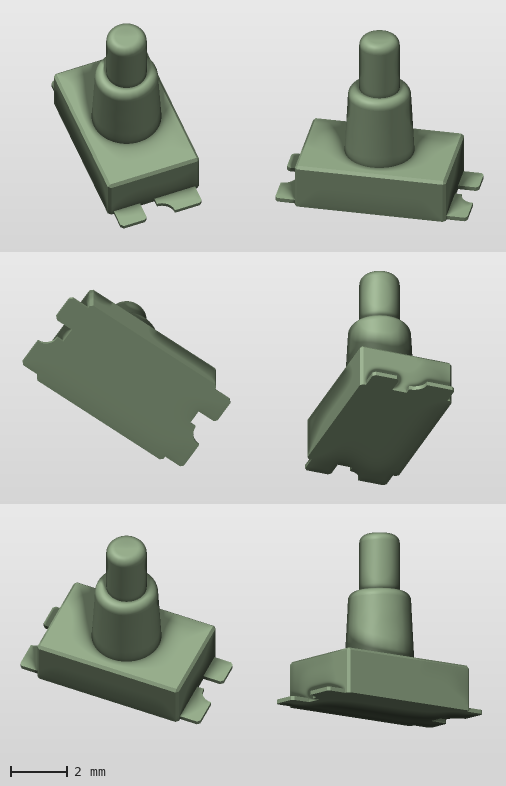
import cadquery as cq
import math

overall_length = 7.0
housing_length = 5.5
housing_width = 3.5
housing_height = 1.65
housing_chamfer = 0.1

collar_base_diameter = 2.5
collar_top_z = 4.25
collar_draft_degrees = 3.0
plunger_diameter = 1.45
plunger_top_z = 6.35
rim_radius = 0.3

lead_thickness = 0.15
lead_outer_y = 1.555
lead_inner_y = 0.55
lead_chamfer = 0.1
notch_radius = 0.5


def make_housing():
    block = cq.Workplane("XY").box(
        housing_length, housing_width, housing_height, centered=(True, True, False)
    )
    return block.edges("|Z or >Z").chamfer(housing_chamfer)


def make_collar():
    collar_height = collar_top_z - housing_height
    return (
        cq.Workplane("XY")
        .workplane(offset=housing_height)
        .circle(collar_base_diameter / 2)
        .extrude(collar_height, taper=collar_draft_degrees)
        .faces(">Z")
        .edges()
        .fillet(rim_radius)
    )


def make_plunger():
    return (
        cq.Workplane("XY")
        .workplane(offset=housing_height)
        .circle(plunger_diameter / 2)
        .extrude(plunger_top_z - housing_height)
        .faces(">Z")
        .edges()
        .fillet(rim_radius)
    )


def make_left_leads():
    tip_x = -overall_length / 2
    root_x = -housing_length / 2 + housing_chamfer
    arc_offset = notch_radius * math.sqrt(0.5)
    notched_lead = (
        cq.Workplane("XY")
        .moveTo(root_x, 0)
        .lineTo(tip_x + notch_radius, 0)
        .threePointArc((tip_x + arc_offset, arc_offset), (tip_x, notch_radius))
        .lineTo(tip_x, lead_outer_y - lead_chamfer)
        .lineTo(tip_x + lead_chamfer, lead_outer_y)
        .lineTo(root_x, lead_outer_y)
        .close()
        .extrude(lead_thickness)
    )
    plain_lead = (
        cq.Workplane("XY")
        .moveTo(root_x, -lead_inner_y)
        .lineTo(tip_x + lead_chamfer, -lead_inner_y)
        .lineTo(tip_x, -lead_inner_y - lead_chamfer)
        .lineTo(tip_x, -lead_outer_y + lead_chamfer)
        .lineTo(tip_x + lead_chamfer, -lead_outer_y)
        .lineTo(root_x, -lead_outer_y)
        .close()
        .extrude(lead_thickness)
    )
    return notched_lead, plain_lead


result = make_housing().union(make_collar()).union(make_plunger())
for lead in make_left_leads():
    result = result.union(lead).union(lead.mirror("YZ"))